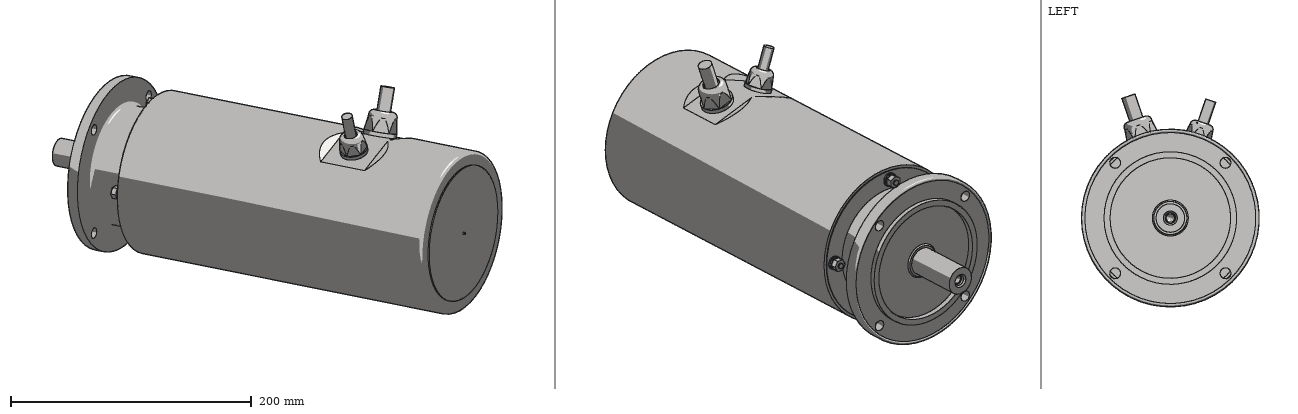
import cadquery as cq
import math

SHAFT_D = 23.5
CENTRE_HOLE_D = 7.0
CENTRE_HOLE_DEPTH = 11.5
CENTRE_BORE_D = 9.0
CENTRE_BORE_DEPTH = 4.0
COUNTERSINK_D = 11.5

PILOT_X = 45.8
PILOT_D = 110.0
PILOT_RECESS_D = 100.0
PILOT_RECESS_DEPTH = 5.0
COLLAR_D = 30.0
COLLAR_TOP_D = 27.5
COLLAR_HEIGHT = 1.0
FLANGE_X = 49.3
FLANGE_BACK_X = 59.5
FLANGE_D = 148.0
FLANGE_FACE_X = 50.0
RIM_RADIUS = 1.5
FLANGE_HOLE_D = 9.0
FLANGE_HOLE_CIRCLE_D = 129.5
FLANGE_HOLE_COUNT = 4
FLANGE_HOLE_START_ANGLE = 45
NECK_D = 101.0
NECK_FILLET = 2.7

PLATE_X = 94.0
PLATE_D = 133.5
BODY_X = 94.5
BODY_D = 138.0
BODY_END_X = 385.3
BODY_END_FILLET = 2.7
END_BOSS_D = 115.2
END_BOSS_X = 386.5
END_NUB_D = 2.0
MOTOR_END_X = 388.0

SCREW_COUNT = 4
SCREW_CIRCLE_D = 118.0
WASHER_D = 11.5
WASHER_THICKNESS = 1.5
LOCK_WASHER_D = 11.0
LOCK_WASHER_THICKNESS = 1.5
SCREW_HEX_CORNER_D = 11.0
SCREW_HEX_X = 85.7
SCREW_TIP_D = 4.5
SCREW_TIP_X = 84.5

SEAT_X = 294.0
SEAT_TILT = 19.0
SEAT_RADIUS = 66.0
SEAT_LENGTH = 42.0
SEAT_WALL_ANGLE = 21.0
SEAT_CUT_CLEARANCE = 4.0

GLAND_RECESS_DEPTH = 2.0
LARGE_GLAND = {
    "across_flats": 24.0, "base_height": 3.5, "flats_top": 15.5, "height": 21.0,
    "opening_d": 14.5, "cable_d": 11.5, "cable_end": 41.0,
}
SMALL_GLAND = {
    "across_flats": 20.0, "base_height": 3.0, "flats_top": 13.0, "height": 18.0,
    "opening_d": 11.0, "cable_d": 9.0, "cable_end": 37.2,
}
GLAND_FILLET = 4.3


def disc(diameter, start_x, end_x):
    """Cylinder on the motor axis from start_x to end_x."""
    return cq.Workplane("YZ").workplane(offset=start_x).circle(diameter / 2).extrude(end_x - start_x)


def revolve_profile(points):
    """Solid of revolution about the motor axis from (x, radius) points."""
    return cq.Workplane("XY").polyline(points).close().revolve(360, (0, 0, 0), (1, 0, 0))


def make_shaft():
    """Shaft with a stepped, pointed centre hole in its end."""
    countersink_r = COUNTERSINK_D / 2
    bore_r = CENTRE_BORE_D / 2
    hole_r = CENTRE_HOLE_D / 2
    centre_hole = revolve_profile([
        (0, 0), (0, countersink_r), (countersink_r - bore_r, bore_r),
        (CENTRE_BORE_DEPTH, bore_r), (CENTRE_BORE_DEPTH, hole_r),
        (CENTRE_HOLE_DEPTH, hole_r), (CENTRE_HOLE_DEPTH + hole_r, 0),
    ])
    return disc(SHAFT_D, 0, FLANGE_BACK_X).cut(centre_hole)


def make_collar():
    """Conical collar around the shaft on the floor of the pilot recess."""
    floor_x = PILOT_X + PILOT_RECESS_DEPTH
    return revolve_profile([
        (floor_x - COLLAR_HEIGHT, 0), (floor_x - COLLAR_HEIGHT, COLLAR_TOP_D / 2),
        (floor_x, COLLAR_D / 2), (floor_x, 0),
    ])


def make_flange():
    """Flange with a rounded raised rim, a hollow pilot and four holes."""
    rim_centre_x = FLANGE_X + RIM_RADIUS
    rim_middle_radius = FLANGE_D / 2 - RIM_RADIUS
    rim_half_width = math.sqrt(RIM_RADIUS**2 - (rim_centre_x - FLANGE_FACE_X)**2)
    flange = (
        cq.Workplane("XY").moveTo(FLANGE_BACK_X, 0).lineTo(FLANGE_FACE_X, 0)
        .lineTo(FLANGE_FACE_X, rim_middle_radius - rim_half_width)
        .threePointArc((FLANGE_X, rim_middle_radius), (rim_centre_x, FLANGE_D / 2))
        .lineTo(FLANGE_BACK_X, FLANGE_D / 2).close()
        .revolve(360, (0, 0, 0), (1, 0, 0))
    )
    holes = (
        cq.Workplane("YZ").workplane(offset=FLANGE_FACE_X)
        .polarArray(FLANGE_HOLE_CIRCLE_D / 2, FLANGE_HOLE_START_ANGLE, 360, FLANGE_HOLE_COUNT)
        .circle(FLANGE_HOLE_D / 2).extrude(FLANGE_BACK_X - FLANGE_FACE_X)
    )
    recess_x = PILOT_X + PILOT_RECESS_DEPTH
    flange = flange.cut(holes).union(disc(PILOT_D, PILOT_X, FLANGE_FACE_X))
    return flange.cut(disc(PILOT_RECESS_D, PILOT_X, recess_x))


def make_neck():
    root_radius = NECK_D / 2 + NECK_FILLET
    fillet_end_x = FLANGE_BACK_X + NECK_FILLET
    corner = NECK_FILLET * (1 - math.sqrt(0.5))
    return (
        cq.Workplane("XY").moveTo(FLANGE_BACK_X, 0).lineTo(FLANGE_BACK_X, root_radius)
        .threePointArc((FLANGE_BACK_X + corner, NECK_D / 2 + corner), (fillet_end_x, NECK_D / 2))
        .lineTo(PLATE_X, NECK_D / 2).lineTo(PLATE_X, 0).close()
        .revolve(360, (0, 0, 0), (1, 0, 0))
    )


def make_body():
    body = disc(BODY_D, BODY_X, BODY_END_X).faces(">X").edges().fillet(BODY_END_FILLET)
    body = body.union(disc(PLATE_D, PLATE_X, BODY_X))
    body = body.union(disc(END_BOSS_D, BODY_END_X, END_BOSS_X))
    return body.union(disc(END_NUB_D, END_BOSS_X, MOTOR_END_X))


def make_screw():
    """Screw head with two washers at the top of the end plate, one hexagon corner pointing outwards."""
    washer_x = PLATE_X - WASHER_THICKNESS
    head_end_x = washer_x - LOCK_WASHER_THICKNESS
    hexagon = (
        cq.Workplane("YZ").workplane(offset=SCREW_HEX_X)
        .transformed(rotate=(0, 0, 90)).polygon(6, SCREW_HEX_CORNER_D).extrude(head_end_x - SCREW_HEX_X)
    )
    screw = hexagon.union(disc(WASHER_D, washer_x, PLATE_X))
    screw = screw.union(disc(LOCK_WASHER_D, head_end_x, washer_x))
    screw = screw.union(disc(SCREW_TIP_D, SCREW_TIP_X, SCREW_HEX_X))
    return screw.translate((0, 0, SCREW_CIRCLE_D / 2))


def tilt_about_axis(shape, angle):
    return shape.rotate((0, 0, 0), (1, 0, 0), angle)


def make_seat_cutter():
    """Trapezoid above the flat seat, its sloping ends open outwards."""
    cut_height = BODY_D / 2 - SEAT_RADIUS + SEAT_CUT_CLEARANCE
    half_floor = SEAT_LENGTH / 2
    half_top = half_floor + cut_height / math.tan(math.radians(SEAT_WALL_ANGLE))
    return (
        cq.Workplane("XZ").center(SEAT_X, SEAT_RADIUS)
        .polyline([(-half_floor, 0), (half_floor, 0), (half_top, cut_height), (-half_top, cut_height)])
        .close().extrude(BODY_D / 2, both=True)
    )


def make_motor():
    motor = make_body().union(make_neck()).union(make_flange()).union(make_collar()).union(make_shaft())
    for index in range(SCREW_COUNT):
        motor = motor.union(tilt_about_axis(make_screw(), index * 360 / SCREW_COUNT))
    for tilt in (SEAT_TILT, -SEAT_TILT):
        motor = motor.cut(tilt_about_axis(make_seat_cutter(), tilt))
    return motor


def make_gland(size, tilt):
    """Gland nut with its cable, standing on a flat seat."""
    flat_radius = size["across_flats"] / 2
    corner_radius = flat_radius / math.cos(math.pi / 6)
    hexagon = (
        cq.Workplane("XY").transformed(rotate=(0, 0, 90))
        .polygon(6, 2 * corner_radius).extrude(size["height"])
    )
    cap = (
        cq.Workplane("XZ")
        .polyline([(0, 0), (corner_radius, 0), (corner_radius, size["base_height"]),
                   (flat_radius, size["flats_top"]), (flat_radius, size["height"]), (0, size["height"])])
        .close().revolve(360, (0, 0, 0), (0, 1, 0)).faces(">Z").edges().fillet(GLAND_FILLET)
    )
    base = cq.Workplane("XY").circle(corner_radius).extrude(size["base_height"])
    recess = (
        cq.Workplane("XY").workplane(offset=size["height"] - GLAND_RECESS_DEPTH)
        .circle(size["opening_d"] / 2).extrude(GLAND_RECESS_DEPTH)
    )
    cable = cq.Workplane("XY").circle(size["cable_d"] / 2).extrude(size["cable_end"])
    gland = cap.intersect(hexagon).union(base).cut(recess).union(cable)
    return tilt_about_axis(gland.translate((SEAT_X, 0, SEAT_RADIUS)), tilt)


motor = make_motor()
large_gland = make_gland(LARGE_GLAND, -SEAT_TILT)
small_gland = make_gland(SMALL_GLAND, SEAT_TILT)

result = cq.Compound.makeCompound([motor.val(), large_gland.val(), small_gland.val()])